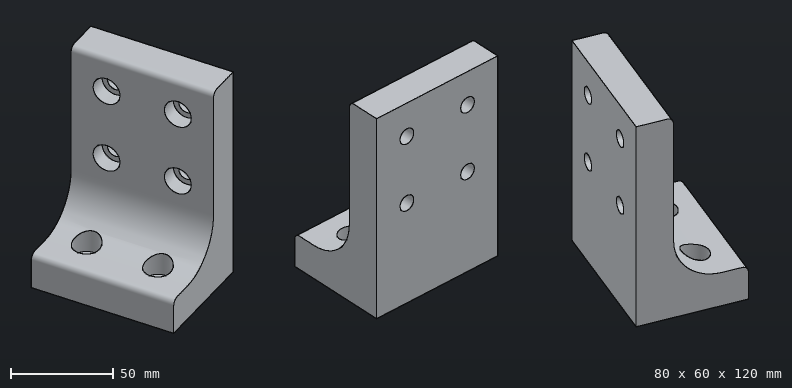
import cadquery as cq

width = 80.0
depth = 60.0
height = 120.0

leg_thickness = 20.0
inner_radius = 26.0
edge_radius = 3.5

hole_diameter = 9.0
counterbore_diameter = 15.0
counterbore_depth = 9.0
hole_spacing_x = 40.0
wall_hole_heights = (60.0, 100.0)
base_hole_setback = 20.0

wall_face_y = depth - leg_thickness
hole_columns = (-hole_spacing_x / 2, hole_spacing_x / 2)


def round_edge(body, y, z, radius):
    """Fillet the edge that runs along X through the given y and z."""
    selector = cq.selectors.NearestToPointSelector((0, y, z))
    return body.edges("|X").edges(selector).fillet(radius)


def bracket_body():
    """L-shaped profile in the YZ plane, extruded across the width and rounded."""
    profile = [
        (0, 0),
        (depth, 0),
        (depth, height),
        (wall_face_y, height),
        (wall_face_y, leg_thickness),
        (0, leg_thickness),
    ]
    body = cq.Workplane("YZ").polyline(profile).close().extrude(width / 2, both=True)
    body = round_edge(body, wall_face_y, leg_thickness, inner_radius)
    body = round_edge(body, wall_face_y, height, edge_radius)
    return round_edge(body, 0, leg_thickness, edge_radius)


def screw_cutter(seat, outward):
    """Through hole and counterbore; seat is the centre of the counterbore floor."""
    bore_length = leg_thickness - counterbore_depth
    head_length = counterbore_depth + inner_radius
    bore = cq.Solid.makeCylinder(hole_diameter / 2, bore_length, seat, -outward)
    head = cq.Solid.makeCylinder(counterbore_diameter / 2, head_length, seat, outward)
    return cq.Workplane(obj=bore.fuse(head))


result = bracket_body()

for x in hole_columns:
    for z in wall_hole_heights:
        wall_seat = cq.Vector(x, wall_face_y + counterbore_depth, z)
        result = result.cut(screw_cutter(wall_seat, cq.Vector(0, -1, 0)))
    base_seat = cq.Vector(x, base_hole_setback, leg_thickness - counterbore_depth)
    result = result.cut(screw_cutter(base_seat, cq.Vector(0, 0, 1)))